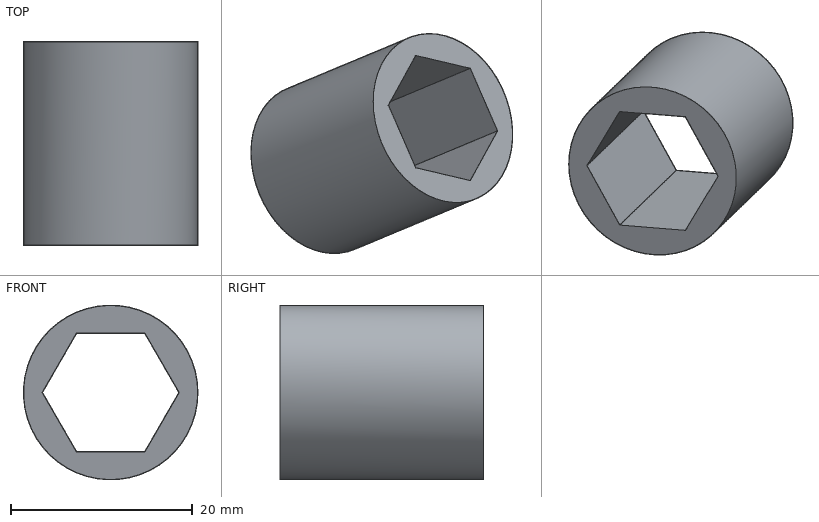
import cadquery as cq
import math

outer_diameter = 19.2
length = 22.4
hex_across_flats = 13.0
hex_across_corners = hex_across_flats / math.cos(math.radians(30))


def back_end_plane():
    """Sketch plane on the +Y end; its normal points toward -Y."""
    return cq.Workplane("XZ", origin=(0, length / 2, 0))


def make_sleeve():
    """Solid cylinder centred on the origin, with its axis along Y."""
    return back_end_plane().circle(outer_diameter / 2).extrude(length)


def make_hex_bore():
    """Hexagonal prism with two corners at Z = 0 and flats facing up and down."""
    return back_end_plane().polygon(6, hex_across_corners).extrude(length)


result = make_sleeve().cut(make_hex_bore())